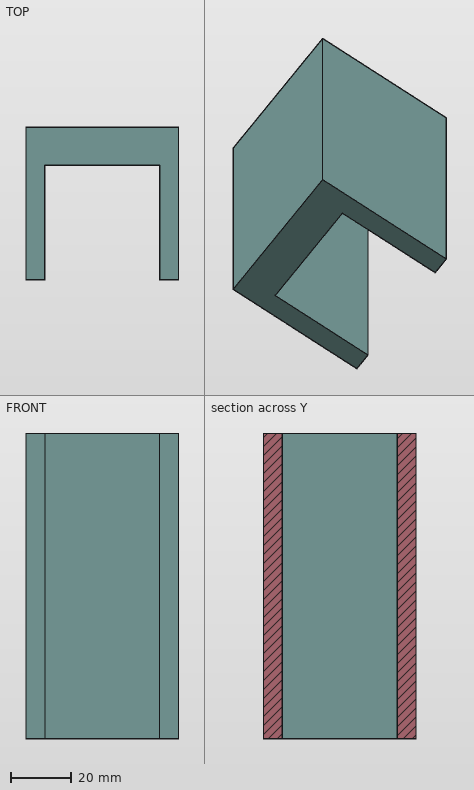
import cadquery as cq

width = 50.8
depth = 50.8
height = 101.6

flange_thickness = 6.35
web_thickness = 12.7

slot_width = width - 2 * flange_thickness
slot_depth = depth - web_thickness


def make_block():
    """Solid block with the outer size of the channel, centred in X and Y."""
    return cq.Workplane("XY").box(width, depth, height, centered=(True, True, False))


def make_slot():
    """Full-height slot that starts at the -Y face and ends at the web."""
    slot = cq.Workplane("XY").box(slot_width, slot_depth, height, centered=(True, False, False))
    return slot.translate((0, -depth / 2, 0))


result = make_block().cut(make_slot())